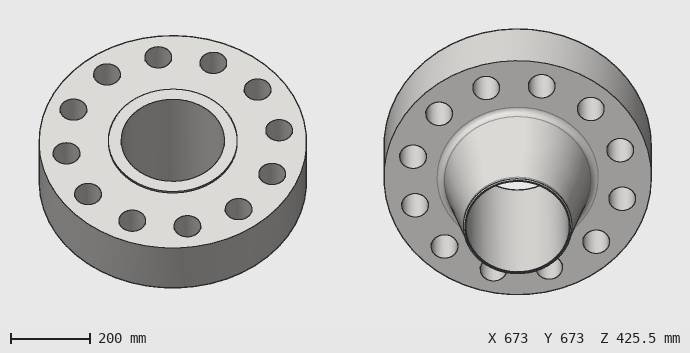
import cadquery as cq
import math

flange_diameter = 673.0
flange_thickness = 165.5
face_diameter = 324.5
face_height = 6.0

total_height = 425.5
bore_diameter = 260.0
neck_top_diameter = 367.0
neck_end_diameter = 273.0
root_fillet_radius = 19.0
end_land_height = 10.0
end_bevel_width = 4.0
end_bevel_height = 2.0

bolt_count = 12
bolt_circle_diameter = 540.0
bolt_hole_diameter = 67.0

flange_bottom = -flange_thickness
neck_bottom = face_height - total_height
land_top = neck_bottom + end_land_height
fillet_end = flange_bottom - root_fillet_radius

flange_radius = flange_diameter / 2
face_radius = face_diameter / 2
bore_radius = bore_diameter / 2
neck_top_radius = neck_top_diameter / 2
neck_end_radius = neck_end_diameter / 2

taper_angle = math.atan2(neck_top_radius - neck_end_radius, fillet_end - land_top)
fillet_center_x = neck_top_radius + root_fillet_radius / math.cos(taper_angle)
tangent_x = fillet_center_x - root_fillet_radius * math.cos(taper_angle)
tangent_z = fillet_end + root_fillet_radius * math.sin(taper_angle)
middle_angle = (math.pi / 2 + math.pi - taper_angle) / 2
fillet_middle = (
    fillet_center_x + root_fillet_radius * math.cos(middle_angle),
    fillet_end + root_fillet_radius * math.sin(middle_angle),
)


def make_body():
    """Revolve the half section, bore included, about the Z axis."""
    return (
        cq.Workplane("XZ")
        .moveTo(bore_radius, face_height)
        .lineTo(face_radius, face_height)
        .lineTo(face_radius, 0)
        .lineTo(flange_radius, 0)
        .lineTo(flange_radius, flange_bottom)
        .lineTo(fillet_center_x, flange_bottom)
        .threePointArc(fillet_middle, (tangent_x, tangent_z))
        .lineTo(neck_end_radius, land_top)
        .lineTo(neck_end_radius, neck_bottom + end_bevel_height)
        .lineTo(neck_end_radius - end_bevel_width, neck_bottom)
        .lineTo(bore_radius, neck_bottom)
        .close()
        .revolve(360, (0, 0, 0), (0, 1, 0))
    )


def make_bolt_holes():
    """Cylinders through the flange, the first one on the +X axis."""
    return (
        cq.Workplane("XY")
        .polarArray(bolt_circle_diameter / 2, 0, 360, bolt_count)
        .circle(bolt_hole_diameter / 2)
        .extrude(-flange_thickness)
    )


result = make_body().cut(make_bolt_holes())